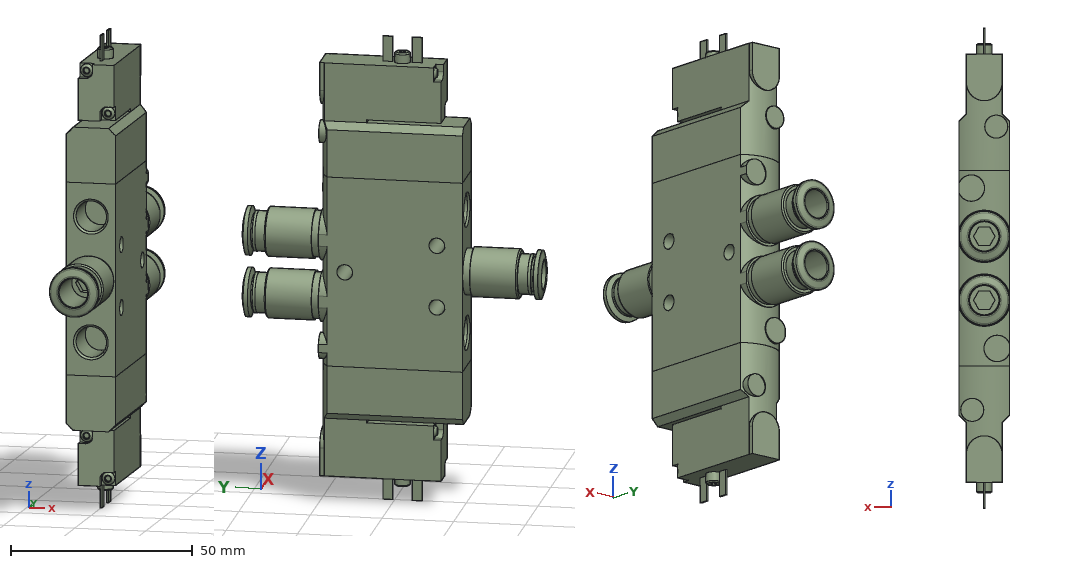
import cadquery as cq
import math


total_length = 132.0

width = 14.0
front_y = -20.2
back_y = 19.8
back_edge_y = 17.5
pad_y = 20.0
body_half_length = 26.9
pad_root_y = 15.8

port_pitch = 17.5
fitting_z = port_pitch / 2
port_diameter = 8.6
port_mouth_diameter = 9.8
port_depth = 11.9
fitting_pad_diameter = 14.4
vent_pad_diameter = 7.3
vent_pad_x = 3.5
vent_pad_z = 22.0

mounting_hole_diameter = 4.4
front_hole_y = -13.1
back_hole_y = 12.7

cap_end_z = 42.4
cap_chamfer = 2.0
override_diameter = 6.3
override_x = 3.3
override_z = 39.0

solenoid_width = width - 2 * cap_chamfer
solenoid_end_z = 58.9
coil_front_y = -13.9
coil_back_y = 6.9
coil_start_z = 43.2
cover_width = 9.8
cover_round_z = 51.0

pocket_size = 4.0
pocket_depth = 2.1
screw_head_diameter = 3.5
screw_head_top_diameter = 2.0
screw_head_height = 0.8
screw_socket_diameter = 1.6
screw_socket_depth = 0.7

terminal_thickness = 0.5
terminal_width = 2.8
terminal_spacing = 8.2
stud_y = -2.2
stud_diameter = 4.4
stud_height = 2.9
stud_chamfer = 0.4
stud_hole_diameter = 1.6
stud_hole_depth = 1.3

fitting_length = 21.6
rim_front = 0.5
rim_land_start = 0.7
rim_back = 1.8
stem_start = 2.4
sleeve_start = 2.9
sleeve_ring_end = 3.7
shoulder_start = 6.5
barrel_start = 6.9
barrel_end = 19.7
tip_diameter = 9.4
rim_face_diameter = 13.0
rim_diameter = 13.7
stem_diameter = 9.8
sleeve_ring_diameter = 11.4
sleeve_diameter = 11.2
shoulder_diameter = 13.0
barrel_diameter = 13.9
neck_diameter = 13.0
bore_diameter = 8.0
bore_mouth_diameter = 8.6
bore_mouth_depth = 0.3
bore_depth = 15.8
hex_across_flats = 5.1
hex_depth = 2.6


def block(x_limits, y_limits, z_limits):
    """Box between the given limits."""
    sizes = [high - low for low, high in (x_limits, y_limits, z_limits)]
    corner = (x_limits[0], y_limits[0], z_limits[0])
    return cq.Workplane("XY").box(*sizes, centered=False).translate(corner)


def cylinder_along_y(diameter, x, z, y_start, y_end):
    """Cylinder parallel to Y."""
    solid = cq.Solid.makeCylinder(
        diameter / 2, y_end - y_start, cq.Vector(x, y_start, z), cq.Vector(0, 1, 0)
    )
    return cq.Workplane(solid)


def cone_along_y(start_diameter, end_diameter, x, z, y_start, y_end):
    """Truncated cone parallel to Y."""
    solid = cq.Solid.makeCone(
        start_diameter / 2, end_diameter / 2, y_end - y_start,
        cq.Vector(x, y_start, z), cq.Vector(0, 1, 0),
    )
    return cq.Workplane(solid)


def valve_section(z_start, z_end):
    """Length of the common valve section, whose back is crowned across the width."""
    half = width / 2
    return (
        cq.Workplane("XY", origin=(0, 0, z_start))
        .moveTo(-half, back_edge_y)
        .lineTo(-half, front_y)
        .lineTo(half, front_y)
        .lineTo(half, back_edge_y)
        .threePointArc((0, back_y), (-half, back_edge_y))
        .close()
        .extrude(z_end - z_start)
    )


def raised_pad(diameter, x, z):
    """Round pad on the back, cut off flush with the sides of the valve."""
    pad = cylinder_along_y(diameter, x, z, pad_root_y, pad_y)
    side_limit = block(
        (-width / 2, width / 2), (pad_root_y, pad_y), (z - diameter, z + diameter)
    )
    return pad.intersect(side_limit)


def cut_port(body, z):
    """Blind port in the front face with a countersunk mouth."""
    mouth_depth = (port_mouth_diameter - port_diameter) / 2
    port = cylinder_along_y(port_diameter, 0, z, front_y, front_y + port_depth)
    mouth = cone_along_y(
        port_mouth_diameter, port_diameter, 0, z, front_y, front_y + mouth_depth
    )
    return body.cut(port).cut(mouth)


def make_body():
    body = valve_section(-body_half_length, body_half_length)
    for side in (-1, 1):
        body = body.union(raised_pad(fitting_pad_diameter, 0, side * fitting_z))
        body = body.union(raised_pad(vent_pad_diameter, side * vent_pad_x, side * vent_pad_z))
        body = cut_port(body, side * port_pitch)

    hole_places = [
        (front_hole_y, fitting_z),
        (front_hole_y, -fitting_z),
        (back_hole_y, 0),
    ]
    holes = (
        cq.Workplane("YZ")
        .pushPoints(hole_places)
        .circle(mounting_hole_diameter / 2)
        .extrude(width, both=True)
    )
    return body.cut(holes)


def make_cap():
    cap = valve_section(body_half_length, cap_end_z)
    cap = cap.union(raised_pad(override_diameter, -override_x, override_z))
    half = width / 2
    for side in (-1, 1):
        chamfer = (
            cq.Workplane("XZ")
            .moveTo(side * half, cap_end_z)
            .lineTo(side * (half - cap_chamfer), cap_end_z)
            .lineTo(side * half, cap_end_z - cap_chamfer)
            .close()
            .extrude(pad_y - front_y, both=True)
        )
        cap = cap.cut(chamfer)
    return cap


def make_solenoid_block():
    """Base on the cap, the coil in front of it and the round-ended cover on its back."""
    half = solenoid_width / 2
    base = block((-half, half), (coil_back_y, back_y), (cap_end_z, solenoid_end_z))
    base = base.intersect(valve_section(cap_end_z, solenoid_end_z))
    coil = block((-half, half), (coil_front_y, coil_back_y), (coil_start_z, solenoid_end_z))
    cover = block(
        (-cover_width / 2, cover_width / 2), (pad_root_y, pad_y), (cover_round_z, solenoid_end_z)
    )
    cover_round = cylinder_along_y(cover_width, 0, cover_round_z, pad_root_y, pad_y)
    return base.union(coil).union(cover).union(cover_round)


def make_screw(x, z, floor_y):
    """Conical screw head with a round socket."""
    top_y = floor_y - screw_head_height
    head = cone_along_y(screw_head_top_diameter, screw_head_diameter, x, z, top_y, floor_y)
    socket = cylinder_along_y(screw_socket_diameter, x, z, top_y, top_y + screw_socket_depth)
    return head.cut(socket)


def make_corner_pocket(x, z, direction):
    """Square pocket in a coil corner, with only its inner corner rounded.

    The coil corner lies towards -X and +Z for direction 1, and towards +X and -Z for -1.
    """
    reach = pocket_size / 2
    y_limits = (coil_front_y, coil_front_y + pocket_depth)
    outer_x = x - direction * reach
    outer_z = z + direction * reach
    pocket = cylinder_along_y(pocket_size, x, z, *y_limits)
    to_side = block(sorted((x, outer_x)), y_limits, (z - reach, z + reach))
    to_end = block((x - reach, x + reach), y_limits, sorted((z, outer_z)))
    return pocket.union(to_side).union(to_end)


def add_coil_screws(unit):
    """Screws in two diagonally opposite corners of the coil, in pockets open to the outside."""
    reach = pocket_size / 2
    screw_x = solenoid_width / 2 - reach
    places = [
        (-screw_x, solenoid_end_z - reach, 1),
        (screw_x, coil_start_z + reach, -1),
    ]
    for x, z, direction in places:
        unit = unit.cut(make_corner_pocket(x, z, direction))
        unit = unit.union(make_screw(x, z, coil_front_y + pocket_depth))
    return unit


def add_terminals(unit):
    """Two flat terminals on the coil end with a hollow stud midway between them."""
    half_thickness = terminal_thickness / 2
    for side in (-1, 1):
        centre_y = stud_y + side * terminal_spacing / 2
        terminal = block(
            (-half_thickness, half_thickness),
            (centre_y - terminal_width / 2, centre_y + terminal_width / 2),
            (solenoid_end_z, total_length / 2),
        )
        unit = unit.union(terminal)

    stud = (
        cq.Workplane("XY", origin=(0, stud_y, solenoid_end_z))
        .circle(stud_diameter / 2)
        .extrude(stud_height)
        .faces(">Z")
        .chamfer(stud_chamfer)
        .faces(">Z")
        .workplane()
        .hole(stud_hole_diameter, stud_hole_depth)
    )
    return unit.union(stud)


def make_end_unit():
    unit = make_cap().union(make_solenoid_block())
    unit = add_coil_screws(unit)
    return add_terminals(unit)


def make_fitting():
    """Fitting with its tip at the origin, running along +Y."""
    profile = [
        (0, 0),
        (tip_diameter / 2, 0),
        (rim_face_diameter / 2, rim_front),
        (rim_diameter / 2, rim_land_start),
        (rim_diameter / 2, rim_back),
        (stem_diameter / 2, stem_start),
        (stem_diameter / 2, sleeve_start),
        (sleeve_ring_diameter / 2, sleeve_start),
        (sleeve_ring_diameter / 2, sleeve_ring_end),
        (sleeve_diameter / 2, sleeve_ring_end),
        (sleeve_diameter / 2, shoulder_start),
        (shoulder_diameter / 2, shoulder_start),
        (barrel_diameter / 2, barrel_start),
        (barrel_diameter / 2, barrel_end),
        (neck_diameter / 2, barrel_end),
        (neck_diameter / 2, fitting_length),
        (0, fitting_length),
    ]
    fitting = cq.Workplane("XY").polyline(profile).close().revolve(360, (0, 0), (0, 1))
    bore = cylinder_along_y(bore_diameter, 0, 0, 0, bore_depth)
    mouth = cone_along_y(bore_mouth_diameter, bore_diameter, 0, 0, 0, bore_mouth_depth)
    hex_corner_diameter = hex_across_flats / math.cos(math.pi / 6)
    hex_socket = (
        cq.Workplane("XZ", origin=(0, bore_depth, 0))
        .polygon(6, hex_corner_diameter)
        .extrude(-hex_depth)
    )
    return fitting.cut(bore).cut(mouth).cut(hex_socket)


body = make_body()

upper_end_unit = make_end_unit()
end_units = [
    upper_end_unit.rotate((0, 0, 0), (0, 1, 0), turn).val() for turn in (0, 180)
]

fitting = make_fitting()
front_fitting = fitting.translate((0, front_y - fitting_length, 0))
back_fitting = fitting.rotate((0, 0, 0), (0, 0, 1), 180)
back_fitting = back_fitting.translate((0, pad_y + fitting_length, 0))
fittings = [front_fitting.val()]
for side in (-1, 1):
    fittings.append(back_fitting.translate((0, 0, side * fitting_z)).val())

result = cq.Compound.makeCompound([body.val(), *end_units, *fittings])